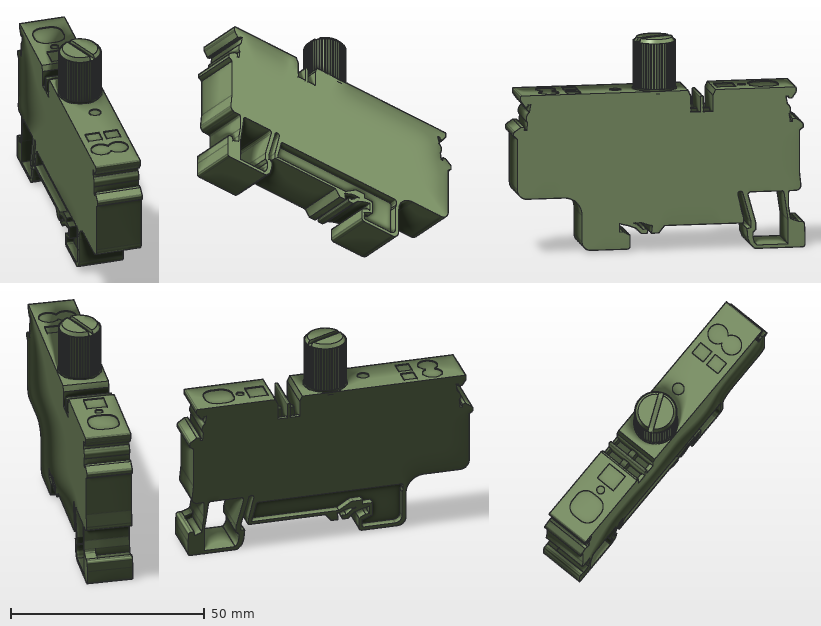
import cadquery as cq
import math

LENGTH = 76.65
WIDTH = 12.0
HEIGHT = 55.65
HALF_WIDTH = WIDTH / 2

BODY_TOP = 42.2
BODY_BOTTOM = 14.95
FOOT_FLOOR = 0.9
FLEX_SLOT_TOP = 15.2
SHELF_BOTTOM = 6.8
SHELF_TOP = 7.6

AXIS_X = 38.55
FLANK_REACH = LENGTH - AXIS_X
WALL_REACH = 37.1

NOTCH_LEFT = 24.2
NOTCH_RIGHT = 30.05
NOTCH_FLOOR = 36.5
NOTCH_CHAMFER_X = 0.7
NOTCH_CHAMFER_Z = 1.45
RIB_THICKNESS = 0.85
RIB_TOP = 40.6
RIB_TIP_RADIUS = 0.3

FLOOR_POCKET_FRONTS = (-5.0, 1.0)
FLOOR_POCKET_TOP_LENGTH = 4.4
FLOOR_POCKET_BOTTOM_LENGTH = 4.0
FLOOR_POCKET_DEPTH = 2.3

SIDE_RECESS_DEPTH = 2.1
SIDE_RECESS_TOP = 12.95
SIDE_RECESS_BOTTOM = 1.85

FOOT_BLOCK_LENGTH = 3.0

MARK_DEPTH = 0.3
LEFT_MARKS_Y = -0.3
ROUNDED_MARK_X = 9.9
ROUNDED_MARK_SIZE = (7.7, 7.9)
ROUNDED_MARK_CORNER = 2.9
SMALL_DOT_X = 15.6
SMALL_DOT_DIAMETER = 2.1
LEFT_BOX_X = 20.0
LEFT_BOX_SIZE = (4.9, 5.4)
LARGE_DOT_CENTER = (49.05, 1.1)
LARGE_DOT_DIAMETER = 3.1
RIGHT_BOX_X = 60.4
RIGHT_BOX_OFFSET_Y = 2.45
RIGHT_BOX_SIZE = (3.5, 3.75)
TWIN_CIRCLE_X = 66.8
TWIN_CIRCLE_OFFSET_Y = 2.3
TWIN_CIRCLE_DIAMETER = 5.2

KNOB_DIAMETER = 11.0
KNURL_ROOT_DIAMETER = 10.6
KNOB_TIP_DIAMETER = 9.2
NECK_DIAMETER = 10.0
COLLAR_HOLE_DIAMETER = 11.5
COLLAR_HOLE_DEPTH = 0.8
KNURL_BOTTOM = 42.6
KNURL_TOP = 54.65
KNURL_COUNT = 48
KNURL_LAND_SHARE = 0.65
SLOT_WIDTH = 1.3
SLOT_DEPTH = 1.0
SLOT_ANGLE = 23.6


def rounded_outline(corners):
    """Closed XZ outline from corners (x, z), each with an optional rounding radius."""
    count = len(corners)
    outline = None
    for i, corner in enumerate(corners):
        point = cq.Vector(corner[0], corner[1])
        if len(corner) == 2:
            stops = [point]
        else:
            before = cq.Vector(*corners[i - 1][:2])
            after = cq.Vector(*corners[(i + 1) % count][:2])
            to_before = (before - point).normalized()
            to_after = (after - point).normalized()
            half_angle = to_before.getAngle(to_after) / 2
            setback = corner[2] / math.tan(half_angle)
            to_middle = (to_before + to_after).normalized()
            middle_distance = corner[2] / math.sin(half_angle) - corner[2]
            stops = [
                point + to_before * setback,
                point + to_middle * middle_distance,
                point + to_after * setback,
            ]
        stops = [(stop.x, stop.y) for stop in stops]
        if outline is None:
            outline = cq.Workplane("XZ").moveTo(*stops[0])
        else:
            outline = outline.lineTo(*stops[0])
        if len(stops) == 3:
            outline = outline.threePointArc(stops[1], stops[2])
    return outline.close()


def prism(corners, y_front=-HALF_WIDTH, y_back=HALF_WIDTH):
    """Solid with the given XZ outline between two Y positions."""
    return rounded_outline(corners).extrude(y_back - y_front).translate((0, y_back, 0))


FLANK = [
    (36.25, BODY_TOP, 0.3),
    (36.25, 40.9, 0.85),
    (35.1, 39.3),
    (34.4, 39.3),
    (34.2, 39.85),
    (33.6, 39.85),
    (33.95, 37.9),
    (35.3, 36.6, 2.0),
    (34.4, 35.1),
    (34.65, 33.1),
    (35.25, 33.1),
    (35.25, 33.95),
    (36.2, 33.95),
    (FLANK_REACH, 32.65, 0.7),
    (FLANK_REACH, 31.6),
    (WALL_REACH, 30.8),
]


def flank(side):
    """Corners of one flank, side -1 for left and +1 for right."""
    return [(AXIS_X + side * corner[0], *corner[1:]) for corner in FLANK]


RIGHT_LOWER_CORNERS = [
    (AXIS_X + WALL_REACH, BODY_BOTTOM, 2.5),
    (58.6, BODY_BOTTOM, 4.75),
    (58.6, FOOT_FLOOR, 2.3),
]

RAIL_HOOK = [
    (46.0, FOOT_FLOOR, 0.85),
    (46.0, 4.5),
    (47.75, 5.5),
    (48.75, 5.5),
    (48.75, 7.7),
    (46.5, 7.1),
    (44.7, 6.45),
    (43.0, 4.9),
    (41.4, 4.9, 0.45),
    (41.4, 6.05, 0.3),
    (42.6, 6.05),
    (44.2, 7.4),
    (45.15, 7.75),
    (43.4, 7.8),
    (42.4, 7.6),
    (40.2, SHELF_BOTTOM),
    (40.4, 4.9),
    (38.5, 4.9),
    (36.95, SHELF_BOTTOM),
]

LEFT_FOOT = [
    (16.25, SHELF_BOTTOM),
    (16.25, 8.4),
    (17.85, FLEX_SLOT_TOP, 0.6),
    (16.5, FLEX_SLOT_TOP, 0.6),
    (14.2, 7.05),
    (14.2, 5.6),
    (15.25, 5.3),
    (15.0, 2.75),
    (14.4, 1.15),
    (13.2, 0),
    (0, 0, 0.7),
    (0, 3.9),
    (0.15, 6.75, 0.7),
    (1.6, 6.75),
    (3.75, 7.5, 0.45),
    (3.9, 8.3),
    (4.3, 10.65),
    (4.3, BODY_BOTTOM, 0.4),
]

LEFT_LOWER_CORNERS = [
    (0.9, BODY_BOTTOM, 1.4),
    (AXIS_X - WALL_REACH, 20.0),
]

FOOT_WINDOW = [
    (4.45, FOOT_FLOOR),
    (4.45, 7.3),
    (5.6, BODY_BOTTOM, 0.6),
    (15.2, BODY_BOTTOM, 0.7),
    (12.95, 6.9),
    (12.95, 5.05),
    (13.65, 4.3),
    (13.65, 1.9, 3.1),
    (12.65, FOOT_FLOOR),
]

FOOT_STEP = [
    (1.6, 8.3),
    (1.6, 6.75),
    (1.85, 5.7),
    (3.75, 6.4),
    (3.9, 8.3),
]

SIDE_RECESS = [
    (17.2, SHELF_TOP),
    (17.25, 8.3),
    (18.5, SIDE_RECESS_TOP, 0.6),
    (57.9, SIDE_RECESS_TOP, 0.7),
    (57.9, 11.5),
    (57.6, 10.6),
    (57.6, SIDE_RECESS_BOTTOM, 1.85),
    (46.8, SIDE_RECESS_BOTTOM, 0.4),
    (46.8, 3.9),
    (49.7, 5.05),
    (49.7, 8.6),
    (47.0, 8.6),
    (47.0, 9.7),
    (44.0, 9.7, 1.5),
    (40.55, SHELF_TOP),
]


def housing():
    corners = (
        flank(1)
        + RIGHT_LOWER_CORNERS
        + RAIL_HOOK
        + LEFT_FOOT
        + LEFT_LOWER_CORNERS
        + flank(-1)[::-1]
    )
    body = prism(corners).cut(prism(FOOT_WINDOW))
    body = body.cut(prism(FOOT_STEP, y_back=HALF_WIDTH - FOOT_BLOCK_LENGTH))
    return body.cut(prism(SIDE_RECESS, y_back=SIDE_RECESS_DEPTH - HALF_WIDTH))


def notch():
    chamfer_bottom = BODY_TOP - NOTCH_CHAMFER_Z
    return prism([
        (NOTCH_LEFT, NOTCH_FLOOR),
        (NOTCH_RIGHT, NOTCH_FLOOR),
        (NOTCH_RIGHT, chamfer_bottom),
        (NOTCH_RIGHT + NOTCH_CHAMFER_X, BODY_TOP),
        (NOTCH_LEFT - NOTCH_CHAMFER_X, BODY_TOP),
        (NOTCH_LEFT, chamfer_bottom),
    ])


def floor_pocket(y_front):
    """Pocket across the notch floor; its rear wall slopes inwards towards the bottom."""
    bottom = NOTCH_FLOOR - FLOOR_POCKET_DEPTH
    return (
        cq.Workplane("YZ", origin=(NOTCH_LEFT, 0, 0))
        .moveTo(y_front, NOTCH_FLOOR)
        .lineTo(y_front + FLOOR_POCKET_TOP_LENGTH, NOTCH_FLOOR)
        .lineTo(y_front + FLOOR_POCKET_BOTTOM_LENGTH, bottom)
        .lineTo(y_front, bottom)
        .close()
        .extrude(NOTCH_RIGHT - NOTCH_LEFT)
    )


def notch_rib():
    middle = (NOTCH_LEFT + NOTCH_RIGHT) / 2
    left = middle - RIB_THICKNESS / 2
    right = middle + RIB_THICKNESS / 2
    bottom = NOTCH_FLOOR - FLOOR_POCKET_DEPTH
    return prism([
        (left, bottom),
        (right, bottom),
        (right, RIB_TOP, RIB_TIP_RADIUS),
        (left, RIB_TOP, RIB_TIP_RADIUS),
    ])


def top_plane():
    return cq.Workplane("XY", origin=(0, 0, BODY_TOP))


def rectangle_mark(x, y, size):
    return top_plane().center(x, y).rect(*size).extrude(-MARK_DEPTH)


def round_mark(x, y, diameter):
    return top_plane().center(x, y).circle(diameter / 2).extrude(-MARK_DEPTH)


def top_marks():
    marks = rectangle_mark(ROUNDED_MARK_X, LEFT_MARKS_Y, ROUNDED_MARK_SIZE)
    marks = marks.edges("|Z").fillet(ROUNDED_MARK_CORNER)
    marks = marks.union(round_mark(SMALL_DOT_X, LEFT_MARKS_Y, SMALL_DOT_DIAMETER))
    marks = marks.union(rectangle_mark(LEFT_BOX_X, LEFT_MARKS_Y, LEFT_BOX_SIZE))
    marks = marks.union(round_mark(*LARGE_DOT_CENTER, LARGE_DOT_DIAMETER))
    for side in (-1, 1):
        box_y = side * RIGHT_BOX_OFFSET_Y
        circle_y = side * TWIN_CIRCLE_OFFSET_Y
        marks = marks.union(rectangle_mark(RIGHT_BOX_X, box_y, RIGHT_BOX_SIZE))
        marks = marks.union(round_mark(TWIN_CIRCLE_X, circle_y, TWIN_CIRCLE_DIAMETER))
    return marks


def knob():
    hole_floor = BODY_TOP - COLLAR_HOLE_DEPTH
    root_radius = KNURL_ROOT_DIAMETER / 2
    core = (
        cq.Workplane("XZ")
        .moveTo(0, hole_floor)
        .lineTo(NECK_DIAMETER / 2, hole_floor)
        .lineTo(NECK_DIAMETER / 2, KNURL_BOTTOM)
        .lineTo(root_radius, KNURL_BOTTOM)
        .lineTo(root_radius, KNURL_TOP)
        .lineTo(KNOB_TIP_DIAMETER / 2, HEIGHT)
        .lineTo(0, HEIGHT)
        .close()
        .revolve(360, (0, 0, 0), (0, 1, 0))
    )
    slot = (
        cq.Workplane("XY", origin=(0, 0, HEIGHT))
        .rect(2 * KNOB_DIAMETER, SLOT_WIDTH)
        .extrude(-SLOT_DEPTH)
        .rotate((0, 0, 0), (0, 0, 1), SLOT_ANGLE)
    )
    return core.union(knurl()).cut(slot).translate((AXIS_X, 0, 0))


def knurl():
    """Ring of flat-topped teeth with V grooves between them."""
    pitch_angle = 2 * math.pi / KNURL_COUNT
    half_land_angle = KNURL_LAND_SHARE * pitch_angle / 2
    tip_radius = KNOB_DIAMETER / 2
    root_radius = KNURL_ROOT_DIAMETER / 2
    outline = []
    for i in range(KNURL_COUNT):
        tooth_angle = i * pitch_angle
        for radius, angle in (
            (tip_radius, tooth_angle - half_land_angle),
            (tip_radius, tooth_angle + half_land_angle),
            (root_radius, tooth_angle + pitch_angle / 2),
        ):
            outline.append((radius * math.cos(angle), radius * math.sin(angle)))
    return (
        cq.Workplane("XY", origin=(0, 0, KNURL_BOTTOM))
        .polyline(outline)
        .close()
        .extrude(KNURL_TOP - KNURL_BOTTOM)
    )


def collar_hole():
    """Recess in the top face around the knob neck."""
    radius = COLLAR_HOLE_DIAMETER / 2
    return top_plane().center(AXIS_X, 0).circle(radius).extrude(-COLLAR_HOLE_DEPTH)


result = housing().cut(notch()).cut(top_marks()).cut(collar_hole())
for pocket_front in FLOOR_POCKET_FRONTS:
    result = result.cut(floor_pocket(pocket_front))
result = result.union(notch_rib()).union(knob())